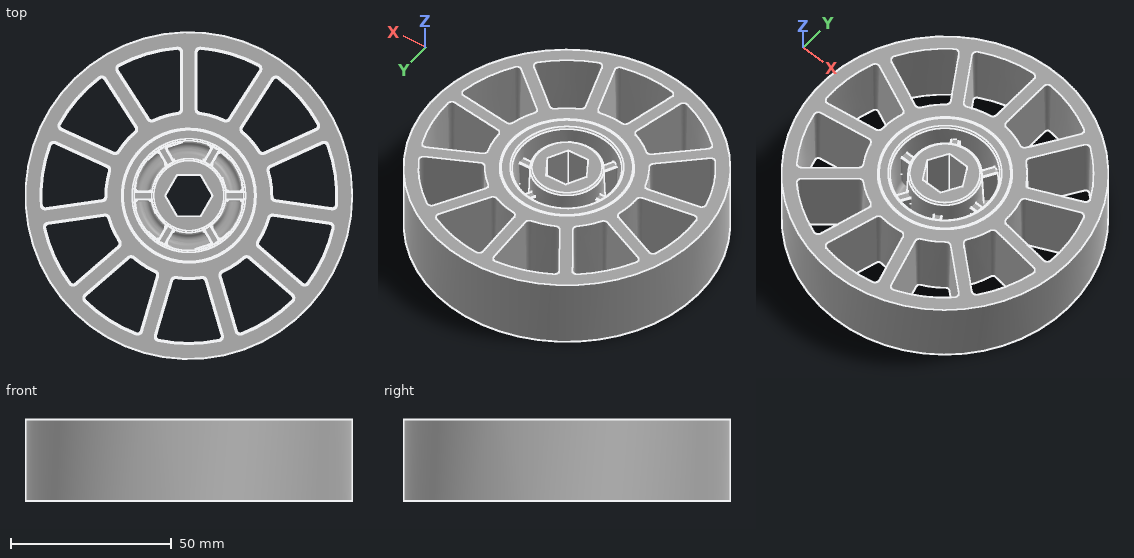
import cadquery as cq
import math

WHEEL_DIAMETER = 101.6
WIDTH = 25.4
WHEEL_RADIUS = WHEEL_DIAMETER / 2

WHEEL_DRAFT = 1.0
RIM_INNER_RADIUS = 46.16
SPOKE_RING_RADIUS = 25.55
SPOKE_COUNT = 11
SPOKE_WIDTH = 4.1
WINDOW_CORNER_RADIUS = 1.5
FIRST_SPOKE_ANGLE = 90.0

HUB_RADIUS = 20.45
HEX_ACROSS_FLATS = 12.7
BORE_TOP_RADIUS = HUB_RADIUS + WIDTH * math.tan(math.radians(WHEEL_DRAFT))

POCKET_INNER_RADIUS = 10.9
POCKET_OUTER_RADIUS = 17.66
POCKET_DEPTH = 20.0
POCKET_DRAFT = 2.0
POCKET_EDGE_CHAMFER = 0.6
POCKET_FLOOR_FILLET = 1.85

RIB_COUNT = 6
RIB_TOP_WIDTH = 2.6
RIB_TOP_DEPTH = 6.35
RIB_DRAFT = 1.0
RIB_EDGE_CHAMFER = 0.25
RIB_ROOT_FILLET = 0.25


def polar(radius, angle):
    """Point at a radius and an angle in degrees."""
    return (radius * math.cos(math.radians(angle)), radius * math.sin(math.radians(angle)))


def edge_point(radius, mid_angle, side):
    """Point where a circle meets the spoke flank on one side (-1 or 1) of a window."""
    half_pitch = 180 / SPOKE_COUNT
    half_spoke_angle = math.degrees(math.asin(SPOKE_WIDTH / 2 / radius))
    return polar(radius, mid_angle + side * (half_pitch - half_spoke_angle))


def window_cutter(mid_angle):
    """Tapered cutter for one window, centred on an angle and widest at the top face."""
    outline = (
        cq.Sketch()
        .segment(edge_point(SPOKE_RING_RADIUS, mid_angle, -1), edge_point(RIM_INNER_RADIUS, mid_angle, -1))
        .arc(
            edge_point(RIM_INNER_RADIUS, mid_angle, -1),
            polar(RIM_INNER_RADIUS, mid_angle),
            edge_point(RIM_INNER_RADIUS, mid_angle, 1),
        )
        .segment(edge_point(RIM_INNER_RADIUS, mid_angle, 1), edge_point(SPOKE_RING_RADIUS, mid_angle, 1))
        .arc(
            edge_point(SPOKE_RING_RADIUS, mid_angle, 1),
            polar(SPOKE_RING_RADIUS, mid_angle),
            edge_point(SPOKE_RING_RADIUS, mid_angle, -1),
        )
        .assemble()
        .vertices()
        .fillet(WINDOW_CORNER_RADIUS)
    )
    return cq.Workplane("XY", origin=(0, 0, WIDTH)).placeSketch(outline).extrude(-WIDTH, taper=WHEEL_DRAFT)


def make_wheel():
    """Rim, spokes and spoke ring, with a drafted bore for the hub."""
    wheel = cq.Workplane("XY").circle(WHEEL_RADIUS).extrude(WIDTH)
    bore = cq.Solid.makeCone(HUB_RADIUS, BORE_TOP_RADIUS, WIDTH)
    wheel = wheel.cut(cq.Workplane(bore))
    pitch = 360 / SPOKE_COUNT
    for index in range(SPOKE_COUNT):
        wheel = wheel.cut(window_cutter(FIRST_SPOKE_ANGLE + (index + 0.5) * pitch))
    return wheel


def pocket_cutter():
    """Ring cutter with a chamfered mouth, drafted walls and a rounded floor."""
    wall_shift = (POCKET_DEPTH - POCKET_EDGE_CHAMFER) * math.tan(math.radians(POCKET_DRAFT))
    inner_wall_top = POCKET_INNER_RADIUS + POCKET_EDGE_CHAMFER
    outer_wall_top = POCKET_OUTER_RADIUS - POCKET_EDGE_CHAMFER
    floor_height = WIDTH - POCKET_DEPTH
    return (
        cq.Workplane("XZ")
        .moveTo(POCKET_INNER_RADIUS, WIDTH)
        .lineTo(inner_wall_top, WIDTH - POCKET_EDGE_CHAMFER)
        .lineTo(inner_wall_top + wall_shift, floor_height)
        .lineTo(outer_wall_top - wall_shift, floor_height)
        .lineTo(outer_wall_top, WIDTH - POCKET_EDGE_CHAMFER)
        .lineTo(POCKET_OUTER_RADIUS, WIDTH)
        .close()
        .revolve(360, (0, 0, 0), (0, 1, 0))
        .faces("<Z")
        .edges()
        .fillet(POCKET_FLOOR_FILLET)
    )


def rib_bar(angle):
    """Drafted bar from the axis outward at an angle, with chamfered top edges."""
    rib_top = WIDTH - RIB_TOP_DEPTH
    rib_bottom = WIDTH - POCKET_DEPTH
    shoulder = rib_top - RIB_EDGE_CHAMFER
    top_half = RIB_TOP_WIDTH / 2 - RIB_EDGE_CHAMFER
    shoulder_half = RIB_TOP_WIDTH / 2
    bottom_half = shoulder_half + (shoulder - rib_bottom) * math.tan(math.radians(RIB_DRAFT))
    section = [
        (-bottom_half, rib_bottom),
        (bottom_half, rib_bottom),
        (shoulder_half, shoulder),
        (top_half, rib_top),
        (-top_half, rib_top),
        (-shoulder_half, shoulder),
    ]
    bar = cq.Workplane("YZ").polyline(section).close().extrude(POCKET_OUTER_RADIUS)
    return bar.rotate((0, 0, 0), (0, 0, 1), angle)


def is_rib_root(edge):
    """True for an edge where a rib meets the pocket walls or floor."""
    middle = edge.positionAt(0.5)
    pitch = 360 / RIB_COUNT
    turn = math.degrees(math.atan2(middle.y, middle.x)) % pitch
    angle_to_rib = min(turn, pitch - turn)
    beside_rib = angle_to_rib < pitch / 4 and middle.z < WIDTH - RIB_TOP_DEPTH / 2
    pocket_half_width = (POCKET_OUTER_RADIUS - POCKET_INNER_RADIUS) / 2
    along_rib_top = edge.geomType() == "LINE" and edge.Length() > pocket_half_width
    return beside_rib and not along_rib_top


def ribbed_pocket():
    """Pocket cutter with the ribs left out and their roots rounded."""
    pocket = pocket_cutter()
    for index in range(RIB_COUNT):
        pocket = pocket.cut(rib_bar(index * 360 / RIB_COUNT))
    solid = pocket.val()
    root_edges = [edge for edge in solid.Edges() if is_rib_root(edge)]
    return cq.Workplane(solid.fillet(RIB_ROOT_FILLET, root_edges))


def make_hub():
    """Hub with a hex bore and a ribbed ring pocket."""
    hex_across_corners = HEX_ACROSS_FLATS / math.cos(math.radians(30))
    hex_bore = cq.Workplane("XY").polygon(6, hex_across_corners).extrude(WIDTH)
    return cq.Workplane("XY").circle(HUB_RADIUS).extrude(WIDTH).cut(ribbed_pocket()).cut(hex_bore)


wheel = make_wheel()
hub = make_hub()
result = cq.Compound.makeCompound([wheel.val(), hub.val()])